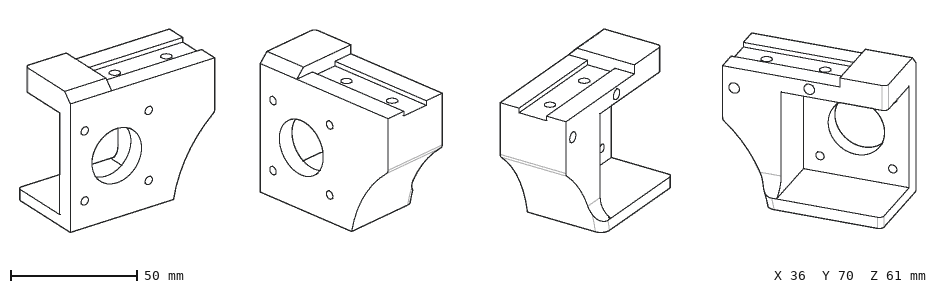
import cadquery as cq

width = 36.0
length = 70.0
height = 61.0

plate_thickness = 5.0
plate_overhang = 5.0
motor_wall = 7.3
cavity_size = 45.0

block_length = 20.0
step_height = 4.0
step_z = height - step_height
block_chamfer_x = 3.85
groove_width = 12.9
groove_depth = 2.0
groove_to_wall = 8.95

rear_edge_z = 33.1
plate_length = 50.05
rear_radius = 55.0
rear_corner_radius = 2.0

front_corner_radius = 2.0
plate_rear_radius = 4.0
cove_top_z = 12.8

motor_bore = 24.0
motor_screw_hole = 3.5
motor_screw_spacing = 31.0
tapped_hole = 4.5
rail_hole_pitch = 25.0
rail_hole_rear_offset = 12.5
rail_hole_depth = 10.0
side_hole_depth = 7.0
side_hole_places = [(65.0, 48.0), (33.05, 53.5)]


def box(x0, x1, y0, y1, z0, z1):
    """Axis-aligned box between two opposite corners."""
    return cq.Workplane("XY").box(x1 - x0, y1 - y0, z1 - z0, centered=False).translate((x0, y0, z0))


def make_body():
    """Side profile extruded across the full width, with its rear corner rounded."""
    body = (
        cq.Workplane("YZ")
        .lineTo(plate_length, 0)
        .radiusArc((length, rear_edge_z), rear_radius)
        .lineTo(length, step_z)
        .lineTo(block_length, step_z)
        .lineTo(block_length, height)
        .lineTo(0, height)
        .close()
        .extrude(width)
    )
    rear_corner = cq.selectors.NearestToPointSelector((width / 2, length, rear_edge_z))
    return body.edges("|X").edges(rear_corner).fillet(rear_corner_radius)


def make_side_relief():
    """Volume beside the body: square over the plate, coved down to it behind the cavity."""
    front = box(0, plate_overhang, 0, cavity_size, plate_thickness, height)
    cove_drop = cove_top_z - plate_thickness
    cove_radius = (plate_overhang**2 + cove_drop**2) / (2 * plate_overhang)
    rear = (
        cq.Workplane("XZ", origin=(0, cavity_size, 0))
        .moveTo(0, height)
        .lineTo(0, plate_thickness)
        .radiusArc((plate_overhang, cove_top_z), -cove_radius)
        .lineTo(plate_overhang, height)
        .close()
        .extrude(cavity_size - length)
    )
    return front.union(rear)


def make_cavity():
    """Motor pocket above the bottom plate."""
    top_z = plate_thickness + cavity_size
    return box(0, width - motor_wall, 0, cavity_size, plate_thickness, top_z)


def make_motor_holes():
    """Central bore and four screw holes through the motor wall."""
    center_y = cavity_size / 2
    center_z = plate_thickness + cavity_size / 2
    plane = cq.Workplane("YZ", origin=(width - motor_wall, center_y, center_z))
    bore = plane.circle(motor_bore / 2).extrude(motor_wall)
    screws = (
        plane.rect(motor_screw_spacing, motor_screw_spacing, forConstruction=True)
        .vertices()
        .circle(motor_screw_hole / 2)
        .extrude(motor_wall)
    )
    return bore.union(screws)


def make_rail_seat():
    """Shallow groove behind the block with two holes along its middle."""
    groove_x1 = width - groove_to_wall
    groove_x0 = groove_x1 - groove_width
    floor_z = step_z - groove_depth
    groove = box(groove_x0, groove_x1, block_length, length, floor_z, step_z)
    middle_x = (groove_x0 + groove_x1) / 2
    rear_hole_y = length - rail_hole_rear_offset
    holes = (
        cq.Workplane("XY", origin=(middle_x, 0, floor_z))
        .pushPoints([(0, rear_hole_y), (0, rear_hole_y - rail_hole_pitch)])
        .circle(tapped_hole / 2)
        .extrude(-rail_hole_depth)
    )
    return groove.union(holes)


def make_side_holes():
    """Blind holes in the body side."""
    return (
        cq.Workplane("YZ", origin=(plate_overhang, 0, 0))
        .pushPoints(side_hole_places)
        .circle(tapped_hole / 2)
        .extrude(side_hole_depth)
    )


def make_block_chamfer():
    """Wedge that bevels the top block on the motor wall side."""
    return (
        cq.Workplane("XZ")
        .moveTo(width - block_chamfer_x, height)
        .lineTo(width, height)
        .lineTo(width, step_z)
        .close()
        .extrude(-block_length)
    )


def round_front_corner(part, x, z):
    """Round the vertical front edge nearest to the given X and Z."""
    corner = cq.selectors.NearestToPointSelector((x, 0, z))
    return part.edges("|Z").edges(corner).fillet(front_corner_radius)


result = make_body().cut(make_side_relief()).cut(make_cavity())
result = result.faces("<X").edges("%CIRCLE").fillet(plate_rear_radius)
result = round_front_corner(result, 0, plate_thickness / 2)
result = round_front_corner(result, plate_overhang, height)
result = result.cut(make_block_chamfer())
result = result.cut(make_motor_holes())
result = result.cut(make_rail_seat())
result = result.cut(make_side_holes())